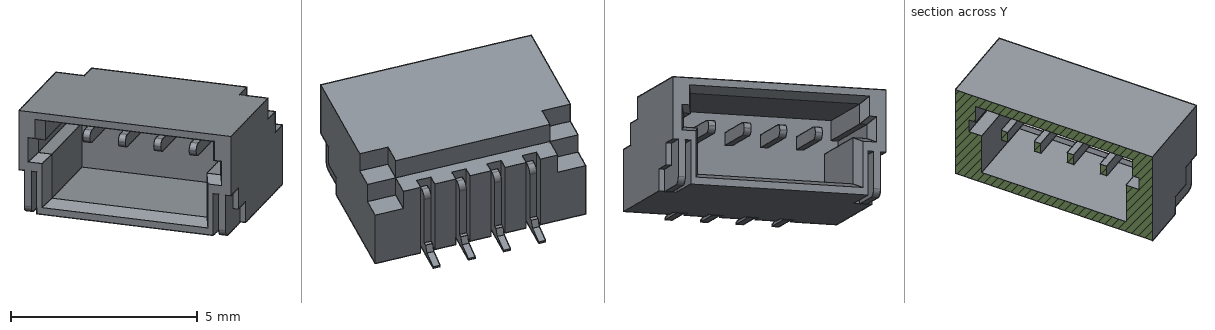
import cadquery as cq


WIDTH = 6.0
BODY_DEPTH = 4.25
BODY_HEIGHT = 2.9
STANDOFF = 0.01

STEP = 0.6
CORNER_WIDTH = 0.805
STEP_FLOOR = BODY_HEIGHT - STEP

WALL = 0.2
CAVITY_DEPTH = 2.84
CAVITY_TOP = BODY_HEIGHT - WALL
UPPER_HALF_WIDTH = 2.54
EAR_HALF_WIDTH = 2.735
LOWER_HALF_WIDTH = 2.345
EAR_TOP = 2.155
EAR_BOTTOM = 1.46
LEAD_IN = 0.155
LEAD_IN_DEPTH = 0.37

TAB_RECESS_WIDTH = 0.505
TAB_THICKNESS = 0.2
TAB_STEP = 0.6
TAB_BEND_RADIUS = 0.2

PIN_COUNT = 4
PIN_PITCH = 1.0
PIN_WIDTH = 0.2
PIN_HEIGHT = 0.35
PIN_TIP_RADIUS = 0.17
PIN_TOP = 2.04
PIN_BEND_RADIUS = 0.2
PIN_TIP_Y = 1.2
SLOT_WIDTH = 0.4
SLOT_DEPTH = 0.305

FOOT_LENGTH = 0.7
FOOT_HEEL_LENGTH = 0.11
FOOT_HEEL_HEIGHT = 0.33
FOOT_SLOPE_LENGTH = 0.215
FOOT_SLOPE_HEIGHT = 0.14
FOOT_TIP_HEIGHT = 0.04

PIN_POSITIONS = [(i - (PIN_COUNT - 1) / 2) * PIN_PITCH for i in range(PIN_COUNT)]


def block(x_range, y_range, z_range):
    """Box between two limits on each axis."""
    (x0, x1), (y0, y1), (z0, z1) = x_range, y_range, z_range
    return cq.Workplane("XY").box(x1 - x0, y1 - y0, z1 - z0, centered=False).translate((x0, y0, z0))


def plate(side_outline, x_center, thickness):
    """Extrude a closed YZ outline symmetrically about x_center."""
    return side_outline.extrude(thickness / 2, both=True).translate((x_center, 0, 0))


def cavity_outline(workplane, inset):
    """Stepped cavity section with side ears, every wall moved inward by inset."""
    upper = UPPER_HALF_WIDTH - inset
    ear = EAR_HALF_WIDTH - inset
    lower = LOWER_HALF_WIDTH - inset
    top = CAVITY_TOP - inset
    ear_top = EAR_TOP - inset
    ear_bottom = EAR_BOTTOM + inset
    bottom = WALL + inset
    right_side = [
        (lower, bottom),
        (lower, ear_bottom),
        (ear, ear_bottom),
        (ear, ear_top),
        (upper, ear_top),
        (upper, top),
    ]
    left_side = [(-x, z) for x, z in reversed(right_side)]
    return workplane.polyline(right_side + left_side).close()


def make_cavity():
    mouth = cavity_outline(cq.Workplane("XZ"), 0)
    lead_in = cavity_outline(mouth.workplane(offset=-LEAD_IN_DEPTH), LEAD_IN).loft(ruled=True, combine=True)
    straight = cavity_outline(cq.Workplane("XZ", origin=(0, LEAD_IN_DEPTH, 0)), LEAD_IN)
    return lead_in.union(straight.extrude(-(CAVITY_DEPTH - LEAD_IN_DEPTH)))


def tab_outline(bottom):
    """Closed L-shaped side outline of a solder tab and of the recess it sits in."""
    return (
        cq.Workplane("YZ")
        .moveTo(0, bottom)
        .lineTo(2 * TAB_STEP, bottom)
        .lineTo(2 * TAB_STEP, TAB_STEP)
        .lineTo(TAB_STEP, TAB_STEP)
        .lineTo(TAB_STEP, 2 * TAB_STEP)
        .lineTo(0, 2 * TAB_STEP)
        .close()
    )


def make_body():
    half_width = WIDTH / 2
    back = BODY_DEPTH
    body = block((-half_width, half_width), (0, back), (0, BODY_HEIGHT))

    body = body.cut(block((-half_width, half_width), (back - STEP, back), (STEP_FLOOR, BODY_HEIGHT)))

    for x_range in ((-half_width, -half_width + CORNER_WIDTH), (half_width - CORNER_WIDTH, half_width)):
        body = body.cut(block(x_range, (back - 2 * STEP, back), (STEP_FLOOR, BODY_HEIGHT)))
        body = body.cut(block(x_range, (back - STEP, back), (STEP_FLOOR - STEP, BODY_HEIGHT)))

    body = body.cut(make_cavity())

    for x in PIN_POSITIONS:
        x_range = (x - SLOT_WIDTH / 2, x + SLOT_WIDTH / 2)
        body = body.cut(block(x_range, (back - SLOT_DEPTH, back), (0, BODY_HEIGHT)))
    return body


def make_pin(x):
    """Bent pin: rounded tip, horizontal blade, vertical leg in the slot and solder foot."""
    back = BODY_DEPTH
    pin_bottom = PIN_TOP - PIN_HEIGHT
    leg_front = back - SLOT_DEPTH
    outline = (
        cq.Workplane("YZ")
        .moveTo(leg_front, -STANDOFF)
        .lineTo(leg_front, pin_bottom)
        .lineTo(PIN_TIP_Y, pin_bottom)
        .lineTo(PIN_TIP_Y, PIN_TOP)
        .lineTo(back, PIN_TOP)
        .lineTo(back, FOOT_HEEL_HEIGHT)
        .lineTo(back + FOOT_HEEL_LENGTH, FOOT_HEEL_HEIGHT)
        .lineTo(back + FOOT_SLOPE_LENGTH, FOOT_SLOPE_HEIGHT)
        .lineTo(back + FOOT_LENGTH, FOOT_TIP_HEIGHT)
        .lineTo(back + FOOT_LENGTH, -STANDOFF)
        .close()
    )
    pin = plate(outline, x, PIN_WIDTH)
    pin = pin.edges("|X").edges("<Y").fillet(PIN_TIP_RADIUS)
    return pin.edges("|X").edges(cq.selectors.NearestToPointSelector((x, back, PIN_TOP))).fillet(PIN_BEND_RADIUS)


def make_solder_tab(x):
    """L-shaped plate with a rounded lower front edge."""
    tab = plate(tab_outline(-STANDOFF), x, TAB_THICKNESS)
    return tab.edges("|X").edges("<Y").edges("<Z").fillet(TAB_BEND_RADIUS)


result = make_body()

for side in (-1, 1):
    tab_x = side * (WIDTH - TAB_RECESS_WIDTH) / 2
    result = result.cut(plate(tab_outline(0), tab_x, TAB_RECESS_WIDTH))
    result = result.union(make_solder_tab(tab_x))

for pin_x in PIN_POSITIONS:
    result = result.union(make_pin(pin_x))